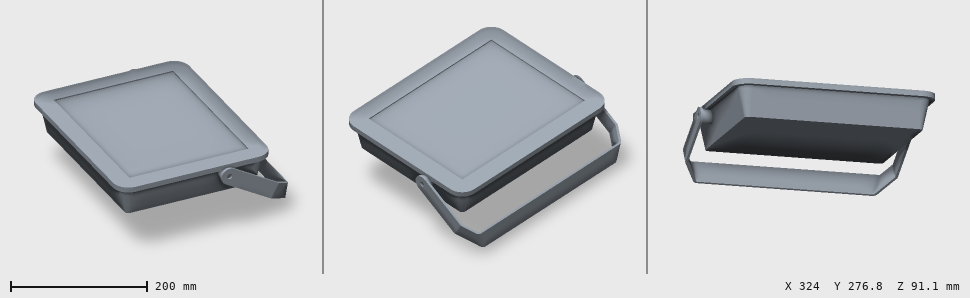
import cadquery as cq
import math

RIM_LENGTH = 308.5
RIM_WIDTH = 249.5
RIM_HEIGHT = 8.5
RIM_CORNER_RADIUS = 25.0
HOUSING_HEIGHT = 53.8
RIM_OVERHANG = 8.5
TUB_BOTTOM_INSET = 18.5
GLASS_BORDER = 28.0
GLASS_DEPTH = 2.0
BOSS_DIAMETER = 22.0

BRACKET_SPAN = 324.0
STRAP_THICKNESS = 4.0
STRAP_WIDTH = 26.2
WEB_THICKNESS = 2.5
PIVOT_Y = 49.0
PIVOT_Z = -16.5
PIVOT_HOLE_DIAMETER = 8.5
TILT = 30.0
LEG_LENGTH = 85.5
BEND_ANGLE = 30.0
LEG_BEND_RADIUS = 6.5
WEB_BEND_RADIUS = 6.5
WEB_INNER_RADIUS = 2.0
WEB_FACE_Y = 152.0

HALF_SPAN = BRACKET_SPAN / 2
INNER_HALF_SPAN = HALF_SPAN - STRAP_THICKNESS


def make_rim():
    return (
        cq.Workplane("XY")
        .box(RIM_LENGTH, RIM_WIDTH, RIM_HEIGHT, centered=(True, True, False))
        .edges("|Z")
        .fillet(RIM_CORNER_RADIUS)
        .translate((0, 0, -RIM_HEIGHT))
    )


def make_tub():
    """Tapered tub whose rounded corners share their axes with the rim corners."""
    depth = HOUSING_HEIGHT - RIM_HEIGHT
    taper = math.degrees(math.atan((TUB_BOTTOM_INSET - RIM_OVERHANG) / depth))
    outline = (
        cq.Sketch()
        .rect(RIM_LENGTH - 2 * RIM_OVERHANG, RIM_WIDTH - 2 * RIM_OVERHANG)
        .vertices()
        .fillet(RIM_CORNER_RADIUS - RIM_OVERHANG)
    )
    return (
        cq.Workplane("XY", origin=(0, 0, -RIM_HEIGHT))
        .placeSketch(outline)
        .extrude(-depth, taper=taper)
    )


def make_boss(side):
    """Round boss from inside the tub wall out to the inner face of a bracket leg."""
    inner_x = RIM_LENGTH / 2 - TUB_BOTTOM_INSET
    return (
        cq.Workplane("YZ", origin=(side * inner_x, PIVOT_Y, PIVOT_Z))
        .circle(BOSS_DIAMETER / 2)
        .extrude(side * (INNER_HALF_SPAN - inner_x))
    )


def make_housing():
    housing = make_rim().union(make_tub())
    for side in (-1, 1):
        housing = housing.union(make_boss(side))
    window = (
        cq.Workplane("XY")
        .rect(RIM_LENGTH - 2 * GLASS_BORDER, RIM_WIDTH - 2 * GLASS_BORDER)
        .extrude(-GLASS_DEPTH)
    )
    return housing.cut(window)


def tilt_to_pivot(shape):
    """Swing a shape built along +Y from the origin down onto the pivot axis."""
    return shape.rotate((0, 0, 0), (1, 0, 0), -TILT).translate((0, PIVOT_Y, PIVOT_Z))


def bracket_block(half_span, bend_y, web_y, leg_bend_radius, web_bend_radius):
    """Tilted block bounded by the leg, slanted and upright web planes."""
    reach = 2 * LEG_LENGTH
    inward = (reach - bend_y) * math.tan(math.radians(BEND_ANGLE))
    tapered_outline = [
        (-half_span, -STRAP_WIDTH),
        (half_span, -STRAP_WIDTH),
        (half_span, bend_y),
        (half_span - inward, reach),
        (inward - half_span, reach),
        (-half_span, bend_y),
    ]
    block = cq.Workplane("XY").polyline(tapered_outline).close().extrude(STRAP_WIDTH, both=True)
    leg_bends = block.edges("|Z and (>X or <X)").edges(">Y")
    block = tilt_to_pivot(leg_bends.fillet(leg_bend_radius))
    before_web = (
        cq.Workplane("XY")
        .box(2 * BRACKET_SPAN, 2 * BRACKET_SPAN, 2 * BRACKET_SPAN)
        .translate((0, web_y - BRACKET_SPAN, 0))
    )
    web_bends = block.intersect(before_web).faces(">Y").edges("not |X")
    return web_bends.fillet(web_bend_radius)


def make_bracket():
    inner_leg = LEG_LENGTH - STRAP_THICKNESS * math.tan(math.radians(BEND_ANGLE / 2))
    outer = bracket_block(HALF_SPAN, LEG_LENGTH, WEB_FACE_Y, LEG_BEND_RADIUS, WEB_BEND_RADIUS)
    inner = bracket_block(
        INNER_HALF_SPAN,
        inner_leg,
        WEB_FACE_Y - WEB_THICKNESS,
        LEG_BEND_RADIUS - STRAP_THICKNESS,
        WEB_INNER_RADIUS,
    )
    end_radius = STRAP_WIDTH / 2
    rounded_side = tilt_to_pivot(
        cq.Workplane("YZ")
        .moveTo(0, -end_radius)
        .lineTo(2 * LEG_LENGTH, -end_radius)
        .lineTo(2 * LEG_LENGTH, end_radius)
        .lineTo(0, end_radius)
        .threePointArc((-end_radius, 0), (0, -end_radius))
        .close()
        .extrude(BRACKET_SPAN, both=True)
    )
    pivot_hole = (
        cq.Workplane("YZ", origin=(0, PIVOT_Y, PIVOT_Z))
        .circle(PIVOT_HOLE_DIAMETER / 2)
        .extrude(BRACKET_SPAN, both=True)
    )
    return outer.cut(inner).intersect(rounded_side).cut(pivot_hole)


housing = make_housing()
bracket = make_bracket()
result = cq.Compound.makeCompound([*housing.solids().vals(), *bracket.solids().vals()])